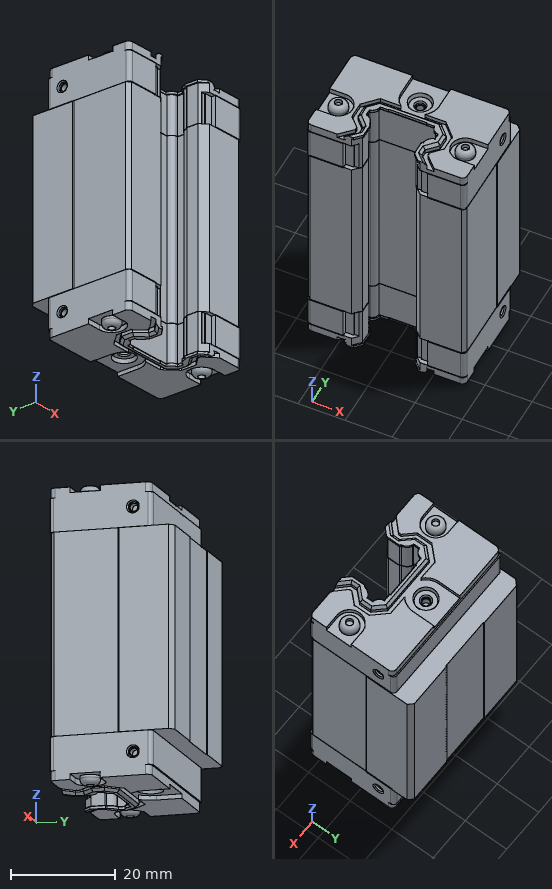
import cadquery as cq

length = 58.6
height = 24.8

block_end = 20.05
block_width = 34.0
lower_width = 33.75
block_bottom = 0.2
step_y = 14.0
step_rise = 0.25
top_chamfer = 1.0
bottom_chamfer = 0.8
relief_width = 11.7
relief_depth = 0.2

cap_width = 33.7
return_cap_fillet = 0.9
plate_fillet = 1.05
return_cap_end = 26.8
return_cap_bottom = 0.0
return_cap_top = 20.55
plate_face = 28.7
plate_bottom = 0.1
plate_top = 20.3
lip_end = length / 2

groove_floor = 27.85
groove_width = 1.05
lip_taper = 0.6
seal_slot_roof = 9.6
seal_notch_width = 8.1
seal_notch_depth = 0.2

cap_wall_gap = 0.3
cap_roof_gap = 0.05
block_wall_gap = 0.35
block_roof_gap = 0.1

screw_x = 13.5
screw_y = 7.2
screw_pocket_radius = 3.0
screw_pocket_floor = 27.6
screw_diameter = 4.0
screw_crown_radius = 1.2
socket_diameter = 1.5
socket_depth = 0.9

port_y = 15.25
port_pocket_radius = 4.05
port_recess_diameter = 5.0
port_recess_inner = 4.5
port_recess_depth = 0.9

side_hole_y = 16.7
side_hole_z = 24.0

bore_mouth = 2.5
bore_diameter = 2.0
bore_shoulder = 0.7
bore_pilot_diameter = 1.5
bore_depth = 2.35

notch_inner_x = 6.2
notch_step_x = 7.2
notch_outer_x = 8.95
notch_roof = 1.3
notch_step = 0.25

below = -1.75


def box(x0, x1, y0, y1, z0, z1):
    return cq.Workplane("XY").box(x1 - x0, y1 - y0, z1 - z0, centered=False).translate((x0, y0, z0))


def both_sides(shape):
    return shape.union(shape.mirror("YZ"))


def seal_slot_half():
    """Closed half outline (+X side) of the opening left by the seal."""
    wall_x, throat_x = 7.25, 5.4
    flare_y = 1.6
    return (
        cq.Workplane("XY")
        .moveTo(0, below)
        .lineTo(0, seal_slot_roof)
        .lineTo(5.75, seal_slot_roof)
        .threePointArc((6.25, 8.5), (7.15, 8.0))
        .lineTo(wall_x, 8.0)
        .lineTo(wall_x, 6.7)
        .lineTo(7.15, 6.7)
        .threePointArc((6.15, 6.0), (5.7, 4.85))
        .lineTo(throat_x, 4.7)
        .lineTo(throat_x, flare_y)
        .lineTo(throat_x + flare_y - below, below)
        .close()
    )


def slot(wall_gap, roof_gap, z0, z1):
    """Rail slot cutter, wider than the seal opening by the given gaps."""
    half = seal_slot_half()
    if wall_gap:
        half = half.offset2D(wall_gap, "intersection")
    half = half.extrude(z1 - z0).translate((0, 0, z0))
    return both_sides(half.intersect(box(0, block_width, below, seal_slot_roof + roof_gap, z0, z1)))


def seal_outline(offset, z):
    """Angular outer outline of the seal, grown by offset, at height z."""
    half = [(6.5, 11.0), (8.75, 8.7), (8.75, 6.0), (6.6, 3.75), (6.6, 2.3), (10.65, below)]
    points = half + [(-x, y) for x, y in reversed(half)]
    outline = cq.Workplane("XY").workplane(offset=z).polyline(points).close()
    if offset:
        outline = outline.offset2D(offset, "intersection")
    return outline


def cone(plane, start_diameter, end_diameter, depth):
    return (
        plane.circle(start_diameter / 2)
        .workplane(offset=-depth)
        .circle(end_diameter / 2)
        .loft(ruled=True)
    )


def stepped_bore(plane):
    """Countersunk bore with a narrower pilot, sunk below the plane."""
    mouth = cone(plane, bore_mouth, bore_diameter, (bore_mouth - bore_diameter) / 2)
    bore = plane.circle(bore_diameter / 2).extrude(-bore_shoulder)
    pilot = plane.circle(bore_pilot_diameter / 2).extrude(-bore_depth)
    return mouth.union(bore).union(pilot)


def make_block():
    half_width = block_width / 2
    lower_half = lower_width / 2
    half = [
        (0, block_bottom),
        (lower_half - bottom_chamfer, block_bottom),
        (lower_half, block_bottom + bottom_chamfer),
        (lower_half, step_y - step_rise),
        (half_width, step_y),
        (half_width, height - top_chamfer),
        (half_width - top_chamfer, height),
        (relief_width / 2, height),
        (relief_width / 2, height - relief_depth),
        (0, height - relief_depth),
    ]
    profile = cq.Workplane("XY").workplane(offset=-block_end).polyline(half).close()
    block = both_sides(profile.extrude(2 * block_end))
    return block.cut(slot(block_wall_gap, block_roof_gap, -block_end, block_end))


def cap_slab(y0, y1, z0, z1, corner):
    return box(-cap_width / 2, cap_width / 2, y0, y1, z0, z1).edges("|Z").fillet(corner)


def cap_notch():
    profile = [
        (notch_inner_x, below),
        (notch_inner_x, notch_roof),
        (notch_step_x, notch_roof),
        (notch_step_x, notch_roof - notch_step),
        (notch_outer_x, notch_roof - notch_step),
        (notch_outer_x, below),
    ]
    plane = cq.Workplane("XY").workplane(offset=block_end)
    return both_sides(plane.polyline(profile).close().extrude(return_cap_end - block_end))


def screw_pocket():
    pocket = (
        cq.Workplane("XY", origin=(screw_x, screw_y, screw_pocket_floor))
        .circle(screw_pocket_radius)
        .extrude(lip_end - screw_pocket_floor)
    )
    mouth = box(
        screw_x, block_width / 2,
        screw_y - screw_pocket_radius, screw_y + screw_pocket_radius,
        screw_pocket_floor, lip_end,
    )
    return both_sides(pocket.union(mouth))


def port_pocket():
    pocket = (
        cq.Workplane("XY", origin=(0, port_y, groove_floor))
        .circle(port_pocket_radius)
        .extrude(lip_end - groove_floor)
    )
    mouth = box(-port_pocket_radius, port_pocket_radius, port_y, height, groove_floor, lip_end)
    return pocket.union(mouth)


def port_hole():
    top = cq.Workplane("XY", origin=(0, port_y, groove_floor))
    recess = cone(top, port_recess_diameter, port_recess_inner, port_recess_depth)
    return recess.union(stepped_bore(top.workplane(offset=-port_recess_depth)))


def side_holes():
    plane = cq.Workplane("YZ", origin=(cap_width / 2, side_hole_y, side_hole_z))
    return both_sides(stepped_bore(plane))


def screw_heads():
    head = (
        cq.Workplane("XY", origin=(screw_x, screw_y, screw_pocket_floor))
        .circle(screw_diameter / 2)
        .extrude(lip_end - screw_pocket_floor)
        .faces(">Z")
        .edges()
        .fillet(screw_crown_radius)
    )
    socket = (
        cq.Workplane("XY", origin=(screw_x, screw_y, lip_end))
        .circle(socket_diameter / 2)
        .extrude(-socket_depth)
    )
    return both_sides(head.cut(socket))


def seal():
    base = seal_outline(0, groove_floor).extrude(plate_face - groove_floor)
    lower = seal_outline(0, plate_face).val()
    upper = seal_outline(-lip_taper, lip_end).val()
    lip = cq.Workplane(cq.Solid.makeLoft([lower, upper], True))
    keep = box(-block_width / 2, block_width / 2, plate_bottom, height, groove_floor, lip_end)
    return base.union(lip).intersect(keep)


def seal_notch():
    half = seal_notch_width / 2
    notch_top = seal_slot_roof + seal_notch_depth
    return box(-half, half, below, notch_top, plate_face, lip_end)


def make_end_cap():
    """End cap on the +Z side of the block."""
    cap = cap_slab(return_cap_bottom, return_cap_top, block_end, return_cap_end, return_cap_fillet)
    cap = cap.cut(cap_notch())
    cap = cap.union(cap_slab(plate_bottom, plate_top, return_cap_end, plate_face, plate_fillet))
    groove = seal_outline(groove_width, groove_floor).extrude(lip_end - groove_floor)
    cap = cap.cut(groove).cut(port_pocket()).cut(screw_pocket())
    cap = cap.cut(port_hole()).cut(side_holes())
    cap = cap.union(seal()).union(screw_heads())
    cap = cap.cut(slot(cap_wall_gap, cap_roof_gap, block_end, plate_face))
    return cap.cut(slot(0, 0, plate_face, lip_end)).cut(seal_notch())


end_cap = make_end_cap()
result = make_block().union(end_cap).union(end_cap.mirror("XY"))